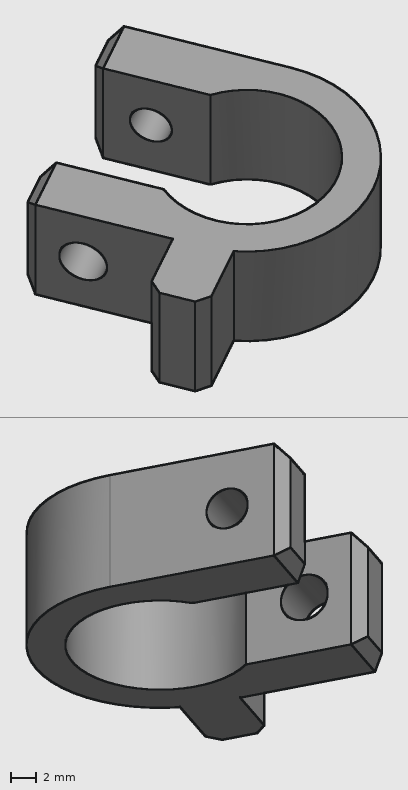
import cadquery as cq

height = 10.0
outer_radius = 10.57
bore_diameter = 15.0
arm_length = 15.0
arm_thickness = 5.0
chamfer = 1.0

tab_width = 5.0
tab_reach = 16.6

screw_inset = 5.0
clearance_diameter = 4.0
thread_diameter = 3.5

gap_half_width = outer_radius - arm_thickness
arm_center_y = outer_radius - arm_thickness / 2


def centered_block(x_min, x_max, y_min, y_max):
    """Block of full part height, centered on Z = 0."""
    return (
        cq.Workplane("XY")
        .box(x_max - x_min, y_max - y_min, height)
        .translate(((x_min + x_max) / 2, (y_min + y_max) / 2, 0))
    )


def make_arm(side):
    """Arm on the +Y (side = 1) or -Y (side = -1) side, beveled around its end."""
    center_y = side * arm_center_y
    half_thickness = arm_thickness / 2
    arm = centered_block(-arm_length, 0, center_y - half_thickness, center_y + half_thickness)
    return arm.faces("<X").edges().chamfer(chamfer)


def make_tab():
    """Tab with its two upright end edges beveled."""
    tab = centered_block(-tab_width / 2, tab_width / 2, -tab_reach, 0)
    return tab.faces("<Y").edges("|Z").chamfer(chamfer)


def make_screw_hole(side, diameter):
    """Cutter along Y from the middle of the gap out through one arm."""
    hole = cq.Workplane("XZ").circle(diameter / 2).extrude(-side * outer_radius)
    return hole.translate((screw_inset - arm_length, 0, 0))


ring = cq.Workplane("XY").circle(outer_radius).extrude(height / 2, both=True)
bore = cq.Workplane("XY").circle(bore_diameter / 2).extrude(height / 2, both=True)
gap = centered_block(-arm_length, 0, -gap_half_width, gap_half_width)

result = (
    ring.union(make_tab())
    .cut(gap)
    .union(make_arm(1))
    .union(make_arm(-1))
    .cut(bore)
    .cut(make_screw_hole(-1, clearance_diameter))
    .cut(make_screw_hole(1, thread_diameter))
)